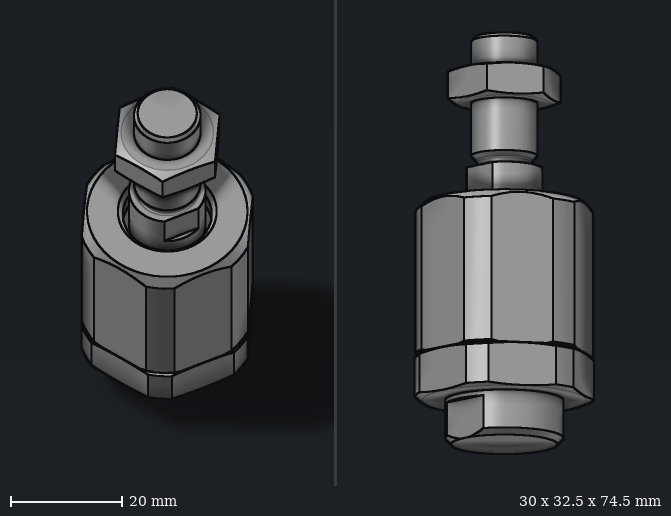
import cadquery as cq
import math

TOTAL_HEIGHT = 74.5
COLLAR_BOTTOM = 8.05
COLLAR_TOP = 16.0
HOUSING_TOP = 44.0
SHOULDER_TOP = 50.5
NUT_BOTTOM = 62.4
NUT_TOP = 68.5

HEX_WIDTH = 30.0
HOUSING_CORNER_DIA = 32.1
HOUSING_TOP_DIA = 28.9
HOUSING_TOP_BEVEL = 1.5
HOUSING_BOTTOM_BEVEL_INSET = 0.4
HOUSING_BOTTOM_BEVEL = 0.3
COLLAR_CORNER_DIA = 32.5
COLLAR_FACE_DIA = 29.5
COLLAR_BEVEL = 0.45

BOSS_DIA = 21.4
BOSS_CHAMFER = 1.1
BOSS_FLAT_WIDTH = 19.1
BOSS_FLAT_TOP = 7.15

CLEARANCE_DIA = 16.0
CLEARANCE_DEPTH = 4.1
CLEARANCE_CHAMFER = 0.9

THREAD_DIA = 12.0
THREAD_TIP_DIA = 10.65
THREAD_TIP_BEVEL = 0.75
NECK_DIA = 10.0
NECK_FILLET = 0.6
NECK_LENGTH = 1.05
SHOULDER_DIA = 13.8
SHOULDER_FLAT_WIDTH = THREAD_DIA
SHOULDER_FLAT_BOTTOM = HOUSING_TOP + 0.45

NUT_WIDTH = 18.1
NUT_FACE_DIA = 16.6
NUT_BEVEL = 0.6

CUT_MARGIN = 7.45


def cylinder(diameter, bottom, top):
    return cq.Workplane("XY").workplane(offset=bottom).circle(diameter / 2).extrude(top - bottom)


def hex_prism(width, bottom, top):
    """Hexagonal prism with two of its flats facing along X."""
    corner_dia = width / math.cos(math.pi / 6)
    prism = cq.Workplane("XY").polygon(6, corner_dia).extrude(top - bottom)
    return prism.rotate((0, 0, 0), (0, 0, 1), 30).translate((0, 0, bottom))


def revolve_profile(points):
    """Turn a closed (radius, height) outline about the Z axis."""
    return cq.Workplane("XZ").polyline(points).close().revolve(360, (0, 0, 0), (0, 1, 0))


def turned_hex(width, corner_dia, bottom, top, bottom_dia, bottom_bevel, top_dia, top_bevel):
    """Hexagonal prism whose corners are turned round and beveled at both ends."""
    envelope = revolve_profile([
        (0, bottom),
        (bottom_dia / 2, bottom),
        (corner_dia / 2, bottom + bottom_bevel),
        (corner_dia / 2, top - top_bevel),
        (top_dia / 2, top),
        (0, top),
    ])
    return hex_prism(width, bottom, top).intersect(envelope)


def cut_flats(body, width, bottom, top):
    """Mill a pair of flats that face along X."""
    slab = HEX_WIDTH
    for side in (-1, 1):
        cutter = cq.Workplane("XY").box(slab, 2 * slab, top - bottom)
        body = body.cut(cutter.translate((side * (width + slab) / 2, 0, (bottom + top) / 2)))
    return body


def make_boss():
    boss = cylinder(BOSS_DIA, 0, COLLAR_BOTTOM).faces("<Z").chamfer(BOSS_CHAMFER)
    return cut_flats(boss, BOSS_FLAT_WIDTH, -CUT_MARGIN, BOSS_FLAT_TOP)


def make_housing():
    """Collar and upper hexagon with the chamfered clearance bore."""
    collar = turned_hex(
        HEX_WIDTH, COLLAR_CORNER_DIA, COLLAR_BOTTOM, COLLAR_TOP,
        COLLAR_FACE_DIA, COLLAR_BEVEL, COLLAR_FACE_DIA, COLLAR_BEVEL,
    )
    upper = turned_hex(
        HEX_WIDTH, HOUSING_CORNER_DIA, COLLAR_TOP, HOUSING_TOP,
        HOUSING_CORNER_DIA - 2 * HOUSING_BOTTOM_BEVEL_INSET, HOUSING_BOTTOM_BEVEL,
        HOUSING_TOP_DIA, HOUSING_TOP_BEVEL,
    )
    bore_radius = CLEARANCE_DIA / 2
    clearance = revolve_profile([
        (0, HOUSING_TOP - CLEARANCE_DEPTH),
        (bore_radius, HOUSING_TOP - CLEARANCE_DEPTH),
        (bore_radius, HOUSING_TOP - CLEARANCE_CHAMFER),
        (bore_radius + CLEARANCE_CHAMFER, HOUSING_TOP),
        (0, HOUSING_TOP),
    ])
    return collar.union(upper.cut(clearance))


def make_stud():
    """Shoulder with flats, filleted neck and chamfered threaded end."""
    shoulder = cylinder(SHOULDER_DIA, HOUSING_TOP - CLEARANCE_DEPTH, SHOULDER_TOP)
    shoulder = cut_flats(shoulder, SHOULDER_FLAT_WIDTH, SHOULDER_FLAT_BOTTOM, SHOULDER_TOP + CUT_MARGIN)

    neck_radius = NECK_DIA / 2
    thread_radius = THREAD_DIA / 2
    neck_top = SHOULDER_TOP + NECK_LENGTH
    half_offset = NECK_FILLET * (1 - math.cos(math.pi / 4))
    half_rise = NECK_FILLET * math.sin(math.pi / 4)
    quarter_offset = NECK_FILLET * (1 - math.cos(math.pi / 8))
    quarter_rise = NECK_FILLET * math.sin(math.pi / 8)
    cone_radius = neck_radius + half_offset
    cone_bottom = neck_top + half_rise
    cone_top = cone_bottom + thread_radius - cone_radius
    rod = (
        cq.Workplane("XZ")
        .moveTo(0, SHOULDER_TOP)
        .lineTo(neck_radius + NECK_FILLET, SHOULDER_TOP)
        .threePointArc(
            (neck_radius + half_offset, SHOULDER_TOP + half_offset),
            (neck_radius, SHOULDER_TOP + NECK_FILLET),
        )
        .lineTo(neck_radius, neck_top)
        .threePointArc(
            (neck_radius + quarter_offset, neck_top + quarter_rise),
            (cone_radius, cone_bottom),
        )
        .lineTo(thread_radius, cone_top)
        .lineTo(thread_radius, TOTAL_HEIGHT - THREAD_TIP_BEVEL)
        .lineTo(THREAD_TIP_DIA / 2, TOTAL_HEIGHT)
        .lineTo(0, TOTAL_HEIGHT)
        .close()
        .revolve(360, (0, 0, 0), (0, 1, 0))
    )
    return shoulder.union(rod)


def make_joint():
    return make_boss().union(make_housing()).union(make_stud())


def make_nut():
    corner_dia = NUT_WIDTH / math.cos(math.pi / 6)
    nut = turned_hex(
        NUT_WIDTH, corner_dia, NUT_BOTTOM, NUT_TOP,
        NUT_FACE_DIA, NUT_BEVEL, NUT_FACE_DIA, NUT_BEVEL,
    )
    return nut.cut(cylinder(THREAD_DIA, NUT_BOTTOM, NUT_TOP))


joint = make_joint()
nut = make_nut()

result = cq.Compound.makeCompound([joint.solids().val(), nut.solids().val()])